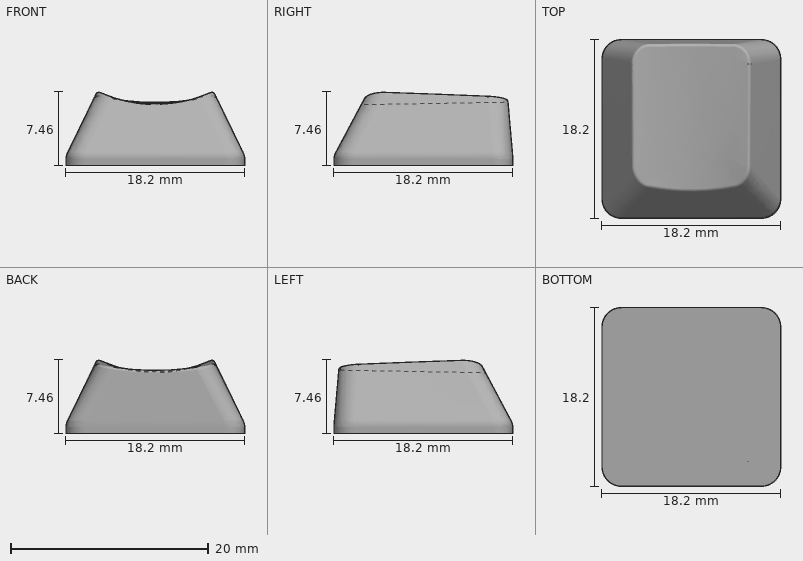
import cadquery as cq
import math

base_size = 18.16
half_base = base_size / 2
foot_corner_radius = 2.0

band_height = 0.65
shoulder_top = 1.3
shoulder_steps = 4

blank_height = 8.0
top_tilt = math.radians(1.92)

side_slope = math.radians(26.3)
front_slope = math.radians(28.0)
rear_slope = math.radians(5.0)

front_corner_radius = 1.8
rear_corner_radius = 2.0

front_dish_y = -7.5
front_dish_bottom = 6.16
front_dish_radius = 12.1
rear_dish_y = half_base + 0.5
rear_dish_bottom = 6.46
rear_dish_radius = 36.0
dish_half_width = 8.0
rim_radius = 0.3


def shoulder_inset(z, slope):
    """Inset of a wall from the foot at height z on its shoulder arc."""
    shoulder_radius = (shoulder_top - band_height) / math.sin(slope)
    return shoulder_radius - math.sqrt(shoulder_radius**2 - (z - band_height) ** 2)


def rounded_outline(plane, side, front, rear, front_radius, rear_radius):
    """Closed outline on a plane, symmetric in x, with its own radius at front and rear corners."""
    arc_gap = 1 - math.sqrt(0.5)
    front_gap = arc_gap * front_radius
    rear_gap = arc_gap * rear_radius
    return (
        cq.Workplane(plane)
        .moveTo(front_radius - side, front)
        .lineTo(side - front_radius, front)
        .threePointArc((side - front_gap, front + front_gap), (side, front + front_radius))
        .lineTo(side, rear - rear_radius)
        .threePointArc((side - rear_gap, rear - rear_gap), (side - rear_radius, rear))
        .lineTo(rear_radius - side, rear)
        .threePointArc((rear_gap - side, rear - rear_gap), (-side, rear - rear_radius))
        .lineTo(-side, front + front_radius)
        .threePointArc((front_gap - side, front + front_gap), (front_radius - side, front))
        .close()
    )


def shoulder_outline(z):
    """Level outline at height z, from the end of the band to the end of the shoulder."""
    share = (z - band_height) / (shoulder_top - band_height)
    return rounded_outline(
        cq.Plane(origin=(0, 0, z)),
        side=half_base - shoulder_inset(z, side_slope),
        front=shoulder_inset(z, front_slope) - half_base,
        rear=half_base - shoulder_inset(z, rear_slope),
        front_radius=foot_corner_radius + share * (front_corner_radius - foot_corner_radius),
        rear_radius=foot_corner_radius + share * (rear_corner_radius - foot_corner_radius),
    )


def half_length_at_top(slope, toward_rear):
    """Distance from the middle of the foot to an end wall, measured along the tilted top plane."""
    level_reach = (
        half_base
        - shoulder_inset(shoulder_top, slope)
        - (blank_height - shoulder_top) * math.tan(slope)
    )
    fall = math.tan(top_tilt) * math.tan(slope)
    reach = level_reach / (1 - fall if toward_rear else 1 + fall)
    return reach / math.cos(top_tilt)


def top_outline():
    """Outline of the blank on its tilted top plane."""
    tilted_plane = cq.Plane(
        origin=(0, 0, blank_height),
        xDir=(1, 0, 0),
        normal=(0, math.sin(top_tilt), math.cos(top_tilt)),
    )
    side_inset = shoulder_inset(shoulder_top, side_slope)
    side_inset += (blank_height - shoulder_top) * math.tan(side_slope)
    return rounded_outline(
        tilted_plane,
        side=half_base - side_inset,
        front=-half_length_at_top(front_slope, toward_rear=False),
        rear=half_length_at_top(rear_slope, toward_rear=True),
        front_radius=front_corner_radius,
        rear_radius=rear_corner_radius,
    )


def make_body():
    """Upright band, rounded shoulder and straight taper stacked into one body."""
    band = shoulder_outline(band_height).extrude(-band_height)
    step = (shoulder_top - band_height) / shoulder_steps
    shoulder_heights = [band_height + i * step for i in range(shoulder_steps + 1)]
    shoulder_wires = [shoulder_outline(z).val() for z in shoulder_heights]
    shoulder = cq.Solid.makeLoft(shoulder_wires)
    taper = cq.Solid.makeLoft([shoulder_wires[-1], top_outline().val()], True)
    return band.union(cq.Workplane(shoulder)).union(cq.Workplane(taper))


def dish_section(y, bottom, radius):
    """Closed wire on the plane at y: an arc below and open space above it."""
    arc_end = bottom + radius - math.sqrt(radius**2 - dish_half_width**2)
    ceiling = 2 * blank_height
    return (
        cq.Workplane("XZ", origin=(0, y, 0))
        .moveTo(-dish_half_width, arc_end)
        .threePointArc((0, bottom), (dish_half_width, arc_end))
        .lineTo(dish_half_width, ceiling)
        .lineTo(-dish_half_width, ceiling)
        .close()
        .val()
    )


def cut_dish(body):
    """Cut the dished top and round its rim."""
    front = dish_section(front_dish_y, front_dish_bottom, front_dish_radius)
    rear = dish_section(rear_dish_y, rear_dish_bottom, rear_dish_radius)
    dish = cq.Solid.makeLoft([front, rear], True)
    dished = body.cut(cq.Workplane(dish))
    dish_face = cq.selectors.NearestToPointSelector((0, 0, blank_height))
    return dished.faces(dish_face).edges().fillet(rim_radius)


result = cut_dish(make_body())